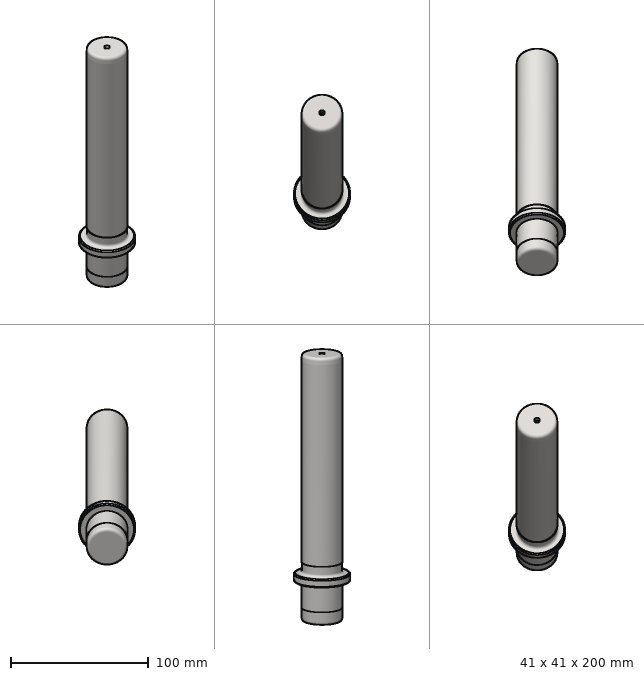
import cadquery as cq
import math

length = 200.0
pin_radius = 15.0

tail_round = 2.5
tail_lead_end = 10.0
lead_relief = 0.1
tail_lead_radius = pin_radius - lead_relief

collar_radius = 20.5
collar_bottom = 29.5
collar_top = 36.0
collar_chamfer = 1.0

neck_relief = 0.5
neck_radius = pin_radius - neck_relief
neck_fillet = 2.2
neck_top = 44.0

tip_taper_length = 5.0
tip_relief = 0.2
tip_radius = pin_radius - tip_relief
tip_round = 2.5

mouth_radius = 2.0
pilot_radius = 1.0
pilot_depth = 5.0
mouth_half_angle = math.radians(30)
point_half_angle = math.radians(59)


def corner_arc(outline, center_radius, center_z, arc_radius, mid_angle, end):
    """Add a circular arc to the outline, passing its middle at mid_angle degrees."""
    angle = math.radians(mid_angle)
    middle = (
        center_radius + arc_radius * math.cos(angle),
        center_z + arc_radius * math.sin(angle),
    )
    return outline.threePointArc(middle, end)


def revolve_outline(outline):
    return outline.close().revolve(360, (0, 0, 0), (0, 1, 0))


def make_pin():
    tail_flat = tail_lead_radius - tail_round
    outline = cq.Workplane("XZ").lineTo(tail_flat, 0)
    outline = corner_arc(outline, tail_flat, tail_round, tail_round, -45, (tail_lead_radius, tail_round))
    outline = (
        outline.lineTo(tail_lead_radius, tail_lead_end)
        .lineTo(pin_radius, tail_lead_end)
        .lineTo(pin_radius, collar_bottom)
        .lineTo(collar_radius - collar_chamfer, collar_bottom)
        .lineTo(collar_radius, collar_bottom + collar_chamfer)
        .lineTo(collar_radius, collar_top - collar_chamfer)
        .lineTo(collar_radius - collar_chamfer, collar_top)
        .lineTo(neck_radius + neck_fillet, collar_top)
    )
    fillet_top = collar_top + neck_fillet
    outline = corner_arc(
        outline, neck_radius + neck_fillet, fillet_top, neck_fillet, 225, (neck_radius, fillet_top)
    )
    round_start = length - tip_round
    tip_flat = tip_radius - tip_round
    outline = (
        outline.lineTo(neck_radius, neck_top)
        .lineTo(pin_radius, neck_top)
        .lineTo(pin_radius, length - tip_taper_length)
        .lineTo(tip_radius, round_start)
    )
    outline = corner_arc(outline, tip_flat, round_start, tip_round, 45, (tip_flat, length))
    return revolve_outline(outline.lineTo(0, length))


def make_center_hole():
    mouth_depth = (mouth_radius - pilot_radius) / math.tan(mouth_half_angle)
    point_depth = pilot_radius / math.tan(point_half_angle)
    pilot_bottom = length - pilot_depth
    outline = (
        cq.Workplane("XZ")
        .moveTo(0, length)
        .lineTo(mouth_radius, length)
        .lineTo(pilot_radius, length - mouth_depth)
        .lineTo(pilot_radius, pilot_bottom)
        .lineTo(0, pilot_bottom - point_depth)
    )
    return revolve_outline(outline)


result = make_pin().cut(make_center_hole())